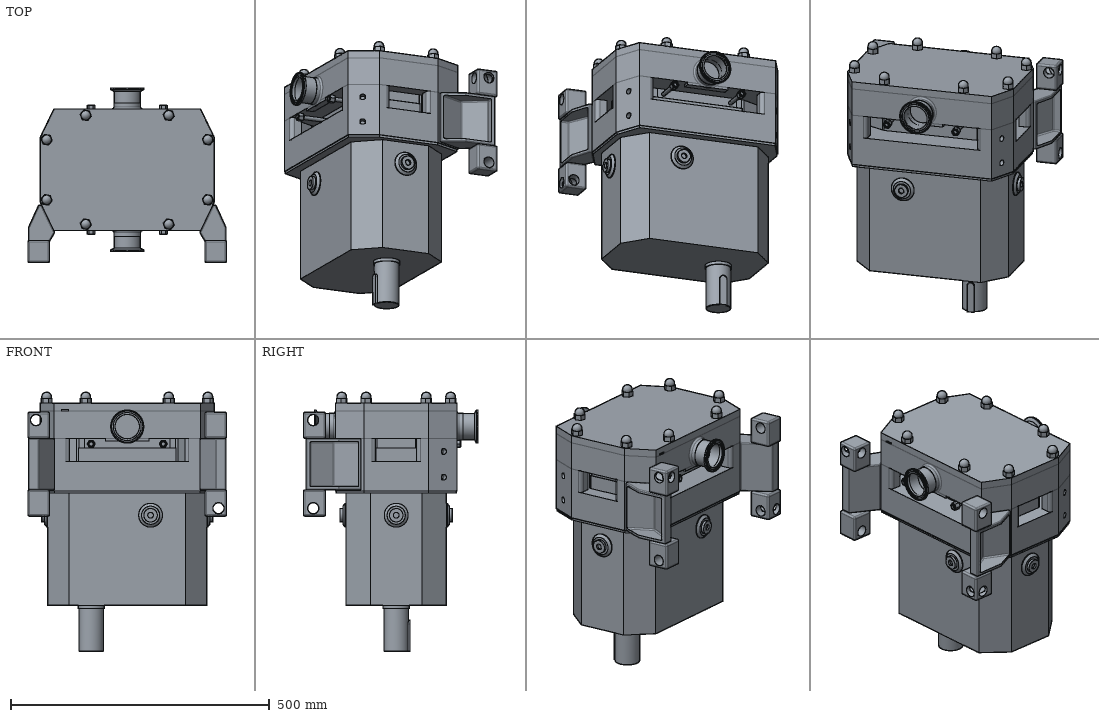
import cadquery as cq
import math

COLLAR_BOTTOM = 82.5
GEARBOX_BOTTOM = 88.5
SEAT_BOTTOM = 305.5
ADAPTER_BOTTOM = 310.0
WINDOW_FLOOR = 366.5
CORE_STEP = 393.0
CASING_BOTTOM = 411.0
COVER_BOTTOM = 464.5
COVER_TOP = 479.0

HEAD_HALF_X, HEAD_HALF_Y = 168.0, 117.5
HEAD_FLAT_X, HEAD_FLAT_Y = 141.5, 62.5
SEAT_INSET = 1.5
GEARBOX_HALF_X, GEARBOX_HALF_Y = 153.5, 97.0
GEARBOX_FLAT_X, GEARBOX_FLAT_Y = 112.5, 49.5

WALL = 22.0
WINDOW_HALF_X, WINDOW_HALF_Y = 118.0, 46.5
WINDOW_EDGE_RADIUS = 7.0
CORE_HALF_X, CORE_HALF_Y = 135.5, 61.0
CORE_FLAT_X, CORE_FLAT_Y = 98.0, 42.5
LOWER_PAD_INSET, LOWER_PAD_RISE = 3.5, 2.0
UPPER_PAD_INSET, UPPER_PAD_RISE = 5.0, 1.0
SCREW_PAD_HALF_X, SCREW_PAD_RISE = 82.0, 1.5

SHAFT_X = -69.5
SHAFT_RADIUS = 24.0
SHAFT_CHAMFER = 1.0
COLLAR_RADIUS = 25.5
KEY_TOP = 60.0
KEY_WIDTH = 14.0
KEY_REACH = 27.0

NUT_PLACES = [(80.0, 105.0), (155.5, 58.0)]
NUT_CORNER_DIAMETER = 22.0
NUT_HEX_HEIGHT = 9.5
NUT_TURN = -10
DOME_RADIUS = 9.5
NUT_TOP = 500.5

PORT_Z = 434.0
PORT_END = 158.0
PORT_BORE_RADIUS = 23.5
PORT_TUBE_RADIUS = 25.5
PORT_WELD_RADIUS = 26.0
PORT_WELD_END = 128.5
PORT_FLARE = 3.5
PORT_FLANGE_RADIUS = 32.0
PORT_RIM = 3.5
PORT_TAPER = 3.5
SEAL_GROOVE_INNER, SEAL_GROOVE_OUTER, SEAL_GROOVE_DEPTH = 27.0, 30.0, 1.0
PORT_PAD_HALF_X, PORT_PAD_DROP, PORT_PAD_LENGTH = 42.0, 5.0, 15.0

SCREW_X, SCREW_Z = 69.5, 400.5
SCREW_END = 125.0
SCREW_HEAD_LENGTH = 12.0
SCREW_HEAD_CORNERS = 15.5
SCREW_HEAD_CHAMFER = 1.5
SCREW_SHANK_RADIUS = 4.0
SCREW_SOCKET_RADIUS, SCREW_SOCKET_DEPTH = 4.0, 4.0

PLUG_X, PLUG_Z = 45.0, 263.0
PLUG_BASE_RADIUS, PLUG_BASE_HEIGHT = 23.0, 1.5
PLUG_SHOULDER_RADIUS, PLUG_SHOULDER_HEIGHT = 17.5, 6.0
PLUG_HEAD_RADIUS, PLUG_HEAD_HEIGHT = 13.0, 11.5
PLUG_SOCKET_RADIUS, PLUG_SOCKET_DEPTH = 5.5, 4.0

CORNER_HOLE_Z = [336.5, 386.0]
CORNER_HOLE_Y = 92.0
CORNER_HOLE_RADIUS, CORNER_HOLE_DEPTH = 5.5, 15.0
PRY_SLOT_X, PRY_SLOT_WIDTH, PRY_SLOT_HEIGHT, PRY_SLOT_DEPTH = -120.0, 13.0, 2.0, 2.0

BRACKET_MID_Z = 361.5
WEB_HEIGHT = 99.0
WEB_TIP_Y, WEB_TIP_WIDTH = -68.0, 5.5
WEB_KNEE_Y = -121.0
WEB_OUTER_X, WEB_OUTER_Y = -191.0, -111.0
WEB_FRONT_X, WEB_FRONT_Y = -170.5, -174.0
WEB_EDGE_RADIUS = 2.0
POCKET_RADIUS = 2.5
GUSSET = 6.0
PLATE_THICKNESS_X = 9.5
LIP = 8.0
OVERALL_WIDTH = 384.0
BLOCK_WIDTH = 42.0
BLOCK_FRONT_Y, BLOCK_BACK_Y = -179.5, -136.0
BLOCK_HEIGHT = 51.0
BLOCK_EDGE_RADIUS = 3.5
BLOCK_HOLE_RADIUS = 10.5
BLOCK_HOLE_X, BLOCK_HOLE_Y, BLOCK_HOLE_RISE = -176.0, -160.0, 85.0


def octagon(half_x, half_y, flat_x, flat_y, bottom, top):
    """Upright prism: a rectangle with its four corners cut off."""
    points = [
        (-flat_x, -half_y), (flat_x, -half_y), (half_x, -flat_y), (half_x, flat_y),
        (flat_x, half_y), (-flat_x, half_y), (-half_x, flat_y), (-half_x, -flat_y),
    ]
    return cq.Workplane("XY").workplane(offset=bottom).polyline(points).close().extrude(top - bottom)


def inset_octagon(inset, bottom, top):
    """The head outline moved inward by the same distance on every side."""
    slant = math.atan2(HEAD_HALF_X - HEAD_FLAT_X, HEAD_HALF_Y - HEAD_FLAT_Y)
    trim_x = inset * (1 - math.sin(slant)) / math.cos(slant)
    trim_y = inset * (1 - math.cos(slant)) / math.sin(slant)
    return octagon(
        HEAD_HALF_X - inset, HEAD_HALF_Y - inset, HEAD_FLAT_X - trim_x, HEAD_FLAT_Y - trim_y, bottom, top
    )


def corner_face_x(y):
    """Distance in X from the housing axis to a corner face of the head, y away from the axis."""
    slope = (HEAD_HALF_X - HEAD_FLAT_X) / (HEAD_HALF_Y - HEAD_FLAT_Y)
    return HEAD_HALF_X - slope * (y - HEAD_FLAT_Y)


def front_and_back(shape):
    """The shape and its mirror image across the XZ plane."""
    return [shape, shape.mirror("XZ")]


def left_and_right(shape):
    """The shape and its mirror image across the YZ plane."""
    return [shape, shape.mirror("YZ")]


def window(half_width, face):
    """Cutter for a window in a wall facing -Y, with rounded upright edges on the outside."""
    radius = WINDOW_EDGE_RADIUS
    jamb = half_width - radius
    inner = -face + WALL
    bend = radius * math.sqrt(0.5)
    return (
        cq.Workplane("XY")
        .workplane(offset=WINDOW_FLOOR)
        .moveTo(-half_width, -face)
        .lineTo(half_width, -face)
        .threePointArc((half_width - bend, -face + radius - bend), (jamb, -face + radius))
        .lineTo(jamb, inner)
        .lineTo(-jamb, inner)
        .lineTo(-jamb, -face + radius)
        .threePointArc((-half_width + bend, -face + radius - bend), (-half_width, -face))
        .close()
        .extrude(CASING_BOTTOM - WINDOW_FLOOR)
    )


def slab(half_x, half_y, bottom, top):
    """Upright rectangular block centred on the housing axis."""
    block = cq.Workplane("XY").box(2 * half_x, 2 * half_y, top - bottom, centered=(True, True, False))
    return block.translate((0, 0, bottom))


def core_pads():
    """Slabs through the core that stand slightly proud of its four flat sides."""
    levels = [
        (LOWER_PAD_INSET, LOWER_PAD_RISE, WINDOW_FLOOR, CORE_STEP),
        (UPPER_PAD_INSET, UPPER_PAD_RISE, CORE_STEP, CASING_BOTTOM),
    ]
    pads = []
    for inset, rise, bottom, top in levels:
        pads.append(slab(CORE_FLAT_X - inset, CORE_HALF_Y + rise, bottom, top))
        pads.append(slab(CORE_HALF_X + rise, CORE_FLAT_Y - inset, bottom, top))
    pads.append(slab(SCREW_PAD_HALF_X, CORE_HALF_Y + SCREW_PAD_RISE, CORE_STEP, CASING_BOTTOM))
    return pads


def adapter():
    """Hollow adapter with a window in each side and a stepped core inside."""
    body = octagon(HEAD_HALF_X, HEAD_HALF_Y, HEAD_FLAT_X, HEAD_FLAT_Y, ADAPTER_BOTTOM, CASING_BOTTOM)
    body = body.cut(inset_octagon(WALL, WINDOW_FLOOR, CASING_BOTTOM))
    front = window(WINDOW_HALF_X, HEAD_HALF_Y)
    side = window(WINDOW_HALF_Y, HEAD_HALF_X).rotate((0, 0, 0), (0, 0, 1), -90)
    for opening in front_and_back(front) + left_and_right(side):
        body = body.cut(opening)
    core = octagon(CORE_HALF_X, CORE_HALF_Y, CORE_FLAT_X, CORE_FLAT_Y, WINDOW_FLOOR, CASING_BOTTOM)
    body = body.union(core)
    for pad in core_pads():
        body = body.union(pad)
    return drill_corner_holes(body)


def drill_corner_holes(body):
    """Blind holes square to the two rear corner faces."""
    normal_x = HEAD_HALF_Y - HEAD_FLAT_Y
    normal_y = HEAD_HALF_X - HEAD_FLAT_X
    face_x = corner_face_x(CORNER_HOLE_Y)
    for side in (-1, 1):
        for height in CORNER_HOLE_Z:
            hole = cq.Solid.makeCylinder(
                CORNER_HOLE_RADIUS, CORNER_HOLE_DEPTH,
                cq.Vector(side * face_x, CORNER_HOLE_Y, height), cq.Vector(-side * normal_x, -normal_y, 0),
            )
            body = body.cut(cq.Workplane(obj=hole))
    return body


def head():
    """Pump casing with its cover; a pry slot lies on the joint at the front."""
    casing = octagon(HEAD_HALF_X, HEAD_HALF_Y, HEAD_FLAT_X, HEAD_FLAT_Y, CASING_BOTTOM, COVER_BOTTOM)
    cover = octagon(HEAD_HALF_X, HEAD_HALF_Y, HEAD_FLAT_X, HEAD_FLAT_Y, COVER_BOTTOM, COVER_TOP)
    slot = cq.Workplane("XY").box(
        PRY_SLOT_WIDTH, PRY_SLOT_DEPTH, PRY_SLOT_HEIGHT, centered=(True, False, False)
    ).translate((PRY_SLOT_X, -HEAD_HALF_Y, COVER_BOTTOM))
    return casing.union(cover.cut(slot), clean=False)


def gearbox():
    """Gearbox with the thin seat that carries the adapter."""
    box = octagon(
        GEARBOX_HALF_X, GEARBOX_HALF_Y, GEARBOX_FLAT_X, GEARBOX_FLAT_Y, GEARBOX_BOTTOM, SEAT_BOTTOM
    )
    return box.union(inset_octagon(SEAT_INSET, SEAT_BOTTOM, ADAPTER_BOTTOM))


def drive_shaft():
    """Shaft below the gearbox, with a collar and a round-topped key on its +Y side."""
    shaft = cq.Workplane("XY").circle(SHAFT_RADIUS).extrude(GEARBOX_BOTTOM)
    shaft = shaft.faces("<Z").chamfer(SHAFT_CHAMFER)
    collar = (
        cq.Workplane("XY").workplane(offset=COLLAR_BOTTOM)
        .circle(COLLAR_RADIUS).extrude(GEARBOX_BOTTOM - COLLAR_BOTTOM)
    )
    half = KEY_WIDTH / 2
    key = (
        cq.Workplane("XZ")
        .moveTo(-half, 0).lineTo(half, 0).lineTo(half, KEY_TOP - half)
        .threePointArc((0, KEY_TOP), (-half, KEY_TOP - half))
        .close()
        .extrude(-KEY_REACH)
    )
    return shaft.union(collar).union(key).translate((SHAFT_X, 0, 0))


def acorn_nut():
    """Hexagon nut with a domed cap, standing on the cover at the origin of X and Y."""
    hexagon = (
        cq.Workplane("XY").workplane(offset=COVER_TOP)
        .polygon(6, NUT_CORNER_DIAMETER).extrude(NUT_HEX_HEIGHT)
        .rotate((0, 0, 0), (0, 0, 1), NUT_TURN)
    )
    dome = cq.Workplane("XY").sphere(DOME_RADIUS).translate((0, 0, NUT_TOP - DOME_RADIUS))
    return hexagon.union(dome)


def port():
    """Flanged pipe stub on the front of the casing, flared where it meets the face."""
    face = HEAD_HALF_Y
    bend = PORT_FLARE * (1 - math.sqrt(0.5))
    rim_start = PORT_END - PORT_RIM
    return (
        cq.Workplane("XY")
        .moveTo(PORT_BORE_RADIUS, face)
        .lineTo(PORT_WELD_RADIUS + PORT_FLARE, face)
        .threePointArc((PORT_WELD_RADIUS + bend, face + bend), (PORT_WELD_RADIUS, face + PORT_FLARE))
        .lineTo(PORT_WELD_RADIUS, PORT_WELD_END)
        .lineTo(PORT_TUBE_RADIUS, PORT_WELD_END)
        .lineTo(PORT_TUBE_RADIUS, rim_start - PORT_TAPER)
        .lineTo(PORT_FLANGE_RADIUS, rim_start)
        .lineTo(PORT_FLANGE_RADIUS, PORT_END)
        .lineTo(SEAL_GROOVE_OUTER, PORT_END)
        .lineTo(SEAL_GROOVE_OUTER, PORT_END - SEAL_GROOVE_DEPTH)
        .lineTo(SEAL_GROOVE_INNER, PORT_END - SEAL_GROOVE_DEPTH)
        .lineTo(SEAL_GROOVE_INNER, PORT_END)
        .lineTo(PORT_BORE_RADIUS, PORT_END)
        .close()
        .revolve(360, (0, 0, 0), (0, 1, 0))
        .mirror("XZ")
        .translate((0, 0, PORT_Z))
    )


def port_pad():
    """Thickening under the casing below the front port, flush with the casing face."""
    pad = cq.Workplane("XY").box(
        2 * PORT_PAD_HALF_X, PORT_PAD_LENGTH, PORT_PAD_DROP, centered=(True, False, False)
    )
    return pad.translate((0, -HEAD_HALF_Y, CASING_BOTTOM - PORT_PAD_DROP))


def window_screw(x):
    """Screw standing on the front of the core, its socketed hexagon head outside the window."""
    core_face = CORE_HALF_Y + SCREW_PAD_RISE
    shank = cq.Workplane("XZ", origin=(x, -core_face, SCREW_Z)).circle(SCREW_SHANK_RADIUS)
    shank = shank.extrude(SCREW_END - SCREW_HEAD_LENGTH - core_face)
    hexagon = cq.Workplane("XZ", origin=(x, SCREW_HEAD_LENGTH - SCREW_END, SCREW_Z))
    hexagon = hexagon.polygon(6, SCREW_HEAD_CORNERS).extrude(SCREW_HEAD_LENGTH)
    hexagon = hexagon.faces("<Y").chamfer(SCREW_HEAD_CHAMFER)
    socket = cq.Workplane("XZ", origin=(x, SCREW_SOCKET_DEPTH - SCREW_END, SCREW_Z))
    socket = socket.circle(SCREW_SOCKET_RADIUS).extrude(SCREW_SOCKET_DEPTH)
    return shank.union(hexagon).cut(socket)


def plug(x, face):
    """Stepped round plug with a central socket on a gearbox side facing -Y."""
    shape = (
        cq.Workplane("XY")
        .lineTo(PLUG_BASE_RADIUS, 0)
        .lineTo(PLUG_BASE_RADIUS, PLUG_BASE_HEIGHT)
        .lineTo(PLUG_SHOULDER_RADIUS, PLUG_SHOULDER_HEIGHT)
        .lineTo(PLUG_HEAD_RADIUS, PLUG_SHOULDER_HEIGHT)
        .lineTo(PLUG_HEAD_RADIUS, PLUG_HEAD_HEIGHT)
        .lineTo(PLUG_SOCKET_RADIUS, PLUG_HEAD_HEIGHT)
        .lineTo(PLUG_SOCKET_RADIUS, PLUG_HEAD_HEIGHT - PLUG_SOCKET_DEPTH)
        .lineTo(0, PLUG_HEAD_HEIGHT - PLUG_SOCKET_DEPTH)
        .close()
        .revolve(360, (0, 0, 0), (0, 1, 0))
    )
    return shape.mirror("XZ").translate((x, -face, PLUG_Z))


def make_housing():
    """The pump: gearbox, adapter, casing and cover with everything fixed to them."""
    body = gearbox().union(adapter()).union(head(), clean=False)
    fittings = [drive_shaft()]
    fittings += front_and_back(port())
    fittings += front_and_back(port_pad())
    for x in (-SCREW_X, SCREW_X):
        fittings += front_and_back(window_screw(x))
    fittings += front_and_back(plug(PLUG_X, GEARBOX_HALF_Y))
    fittings += left_and_right(plug(0, GEARBOX_HALF_X).rotate((0, 0, 0), (0, 0, 1), -90))
    for x, y in NUT_PLACES:
        for place in ((x, y), (-x, y), (-x, -y), (x, -y)):
            fittings.append(acorn_nut().translate((*place, 0)))
    for fitting in fittings:
        body = body.union(fitting, clean=False)
    return body


def bracket_web():
    """Bent plate against the corner face, closed above and below by gussets, open on the -X side."""
    tip_x = -corner_face_x(-WEB_TIP_Y)
    knee_x = -corner_face_x(-WEB_KNEE_Y)
    outline = [
        (tip_x, WEB_TIP_Y), (knee_x, WEB_KNEE_Y), (WEB_FRONT_X, WEB_FRONT_Y), (WEB_OUTER_X, WEB_FRONT_Y),
        (WEB_OUTER_X, WEB_OUTER_Y), (tip_x - WEB_TIP_WIDTH, WEB_TIP_Y),
    ]
    web = cq.Workplane("XY").polyline(outline).close().extrude(WEB_HEIGHT / 2, both=True)
    web = web.edges().fillet(WEB_EDGE_RADIUS)

    front_y = WEB_FRONT_Y + LIP
    front_slope = (knee_x - WEB_FRONT_X) / (WEB_KNEE_Y - WEB_FRONT_Y)
    open_x = WEB_OUTER_X - 2 * POCKET_RADIUS
    pocket_outline = [
        (tip_x - PLATE_THICKNESS_X, WEB_TIP_Y),
        (knee_x - PLATE_THICKNESS_X, WEB_KNEE_Y),
        (WEB_FRONT_X + front_slope * LIP - PLATE_THICKNESS_X, front_y),
        (open_x, front_y),
        (open_x, WEB_TIP_Y),
    ]
    pocket = cq.Workplane("XY").polyline(pocket_outline).close().extrude(WEB_HEIGHT / 2 - GUSSET, both=True)
    return web.cut(pocket.edges().fillet(POCKET_RADIUS))


def bracket_block():
    """Mounting block on top of the web, drilled through along X."""
    outer_x = -OVERALL_WIDTH / 2
    depth = BLOCK_BACK_Y - BLOCK_FRONT_Y
    block = cq.Workplane("XY").box(BLOCK_WIDTH, depth, BLOCK_HEIGHT, centered=False)
    block = block.edges().fillet(BLOCK_EDGE_RADIUS)
    block = block.translate((outer_x, BLOCK_FRONT_Y, WEB_HEIGHT / 2))
    hole = cq.Workplane("YZ", origin=(outer_x, BLOCK_HOLE_Y, BLOCK_HOLE_RISE))
    return block.cut(hole.circle(BLOCK_HOLE_RADIUS).extrude(BLOCK_WIDTH))


def make_bracket(turn):
    """Bracket on the -X side, turned about the Y direction through the housing axis."""
    block = bracket_block()
    body = bracket_web().union(block).union(block.mirror("XY"))
    front_hole = cq.Workplane("XZ", origin=(BLOCK_HOLE_X, BLOCK_BACK_Y, BLOCK_HOLE_RISE))
    body = body.cut(front_hole.circle(BLOCK_HOLE_RADIUS).extrude(BLOCK_BACK_Y - BLOCK_FRONT_Y))
    return body.rotate((0, 0, 0), (0, 1, 0), turn).translate((0, 0, BRACKET_MID_Z))


housing = make_housing()
brackets = [make_bracket(turn) for turn in (0, 180)]
result = cq.Compound.makeCompound([housing.val(), *[bracket.val() for bracket in brackets]])